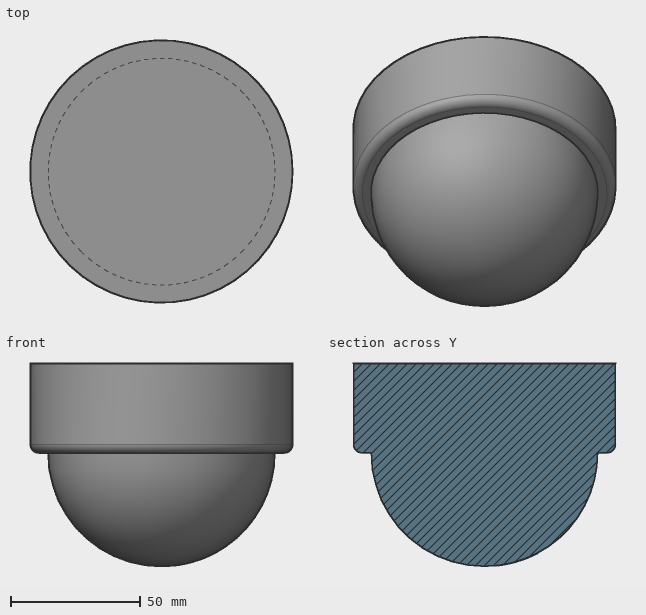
import cadquery as cq

base_diameter = 101.7
base_height = 34.7
dome_radius = 43.9
rim_fillet = 3.5


def make_base():
    """Cylindrical base standing on Z = 0, with its lower rim rounded."""
    base = cq.Workplane("XY").circle(base_diameter / 2).extrude(base_height)
    return base.faces("<Z").edges().fillet(rim_fillet)


def make_dome():
    """Sphere centred on the underside of the base; its lower half hangs below as the dome."""
    sphere = cq.Workplane("XY").sphere(dome_radius)
    lower_half = (
        cq.Workplane("XY")
        .circle(base_diameter / 2)
        .extrude(-base_diameter / 2)
    )
    return sphere.intersect(lower_half)


result = make_base().union(make_dome())